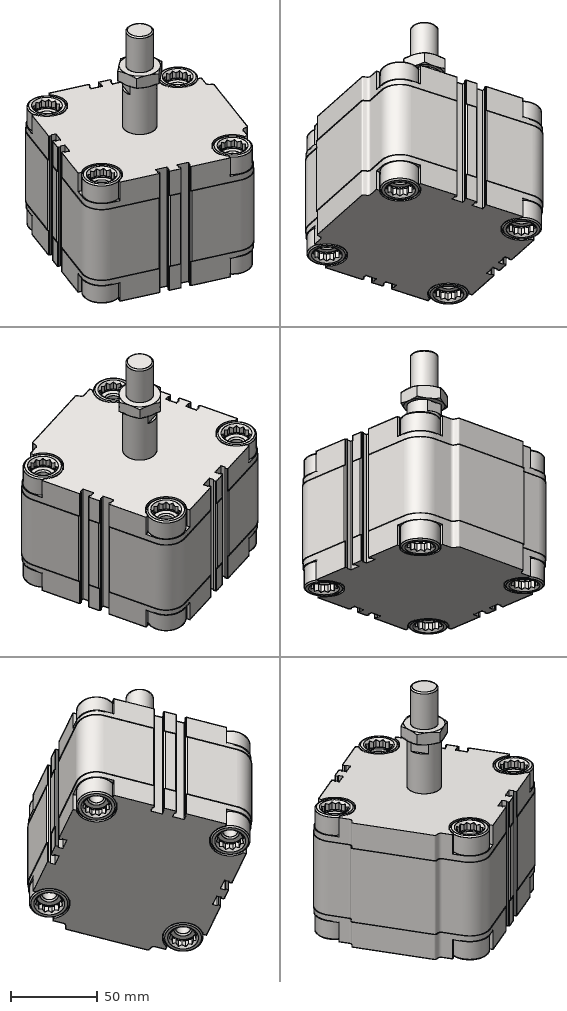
import cadquery as cq
import math


total_height = 146.0
body_height = 81.0
cap_height = 16.5
barrel_height = body_height - 2 * cap_height
rod_bottom = body_height - cap_height
nut_bottom = 114.0
nut_height = 7.9

barrel_width = 107.0
barrel_half_width = barrel_width / 2
cap_half_width = 53.1
screw_offset = 41.0
pad_rise = 4.0
pad_top_half_width = 25.4
pad_base_half_width = 26.7
pad_top_fillet = 1.0
pad_foot_fillet = 2.0

slot_centre = 6.7
slot_width = 7.0
slot_mouth = 5.5
slot_floor = 48.3
lip_inner = 51.5
lip_chamfer = 0.5
slot_sides = (-90, 0, 180)

recess_diameter = 24.0
recess_depth = 12.5
recess_wall = 6.4
head_diameter = 23.0
head_chamfer = 0.9
socket_rim_diameter = 17.8
socket_tip_diameter = 16.0
socket_root_diameter = 14.3
socket_points = 12
socket_depth = 5.8
relief_depth = 1.2
screw_hole_diameter = 8.6
hole_rim_diameter = 10.5

rod_diameter = 20.0
stud_diameter = 16.0
stud_chamfer = 0.9
flats_width = 17.0
flats_height = 7.0
nut_flats = 24.0
nut_chamfer_angle = 20

small_margin = 0.1

screw_points = [(sx * screw_offset, sy * screw_offset) for sx in (-1, 1) for sy in (-1, 1)]


def slot_cutter(side_angle, offset, height):
    """One lipped slot running the full height, opening outward on one side."""
    half_slot = slot_width / 2
    half_mouth = slot_mouth / 2
    flare_start = cap_half_width - lip_chamfer
    flare_length = barrel_half_width - flare_start + small_margin
    half_outline = [
        (slot_floor, half_slot),
        (lip_inner - lip_chamfer, half_slot),
        (lip_inner, half_mouth),
        (flare_start, half_mouth),
        (flare_start + flare_length, half_mouth + flare_length),
    ]
    mirrored = [(x, -y) for x, y in reversed(half_outline)]
    cutter = cq.Workplane("XY").polyline(half_outline + mirrored).close().extrude(height)
    return cutter.translate((0, offset, 0)).rotate((0, 0, 0), (0, 0, 1), side_angle)


def edges_at(y, half_span, height):
    """Selector for the upright edges at one Y within a half span along X."""
    low = (-half_span - small_margin, y - small_margin, 0)
    high = (half_span + small_margin, y + small_margin, height)
    return cq.selectors.BoxSelector(low, high)


def profile_block(half_width, height):
    """Square block with round corners and the +Y pad."""
    block = cq.Workplane("XY").rect(2 * half_width, 2 * half_width).extrude(height)
    block = block.edges("|Z").fillet(half_width - screw_offset)
    growth = half_width - cap_half_width
    base = pad_base_half_width + growth
    top = pad_top_half_width + growth
    pad = (
        cq.Workplane("XY")
        .moveTo(-base, 0)
        .lineTo(-base, half_width)
        .lineTo(-top, half_width + pad_rise)
        .lineTo(top, half_width + pad_rise)
        .lineTo(base, half_width)
        .lineTo(base, 0)
        .close()
        .extrude(height)
    )
    block = block.union(pad)
    top_y = half_width + pad_rise
    block = block.edges("|Z").edges(edges_at(top_y, base, height)).fillet(pad_top_fillet)
    return block.edges("|Z").edges(edges_at(half_width, base, height)).fillet(pad_foot_fillet)


def recess_cutter(x, y):
    """Round screw recess from Z = 0 up, opened out to the housing corner by straight walls."""
    recess = cq.Workplane("XY").circle(recess_diameter / 2).extrude(recess_depth)
    corner_size = recess_diameter
    corner = cq.Workplane("XY").box(corner_size, corner_size, recess_depth, centered=(True, True, False))
    shift = corner_size / 2 - recess_wall
    corner = corner.translate((math.copysign(shift, x), math.copysign(shift, y), 0))
    return recess.union(corner).translate((x, y, 0))


def star_socket():
    """Multi-point star socket, sunk from Z = 0 downward."""
    points = []
    for i in range(2 * socket_points):
        radius = (socket_tip_diameter if i % 2 == 0 else socket_root_diameter) / 2
        angle = math.pi / 2 + i * math.pi / socket_points
        points.append((radius * math.cos(angle), radius * math.sin(angle)))
    return cq.Workplane("XY").polyline(points).close().extrude(-socket_depth)


def screw_head():
    """Hollow screw head with its top face at Z = 0."""
    head = cq.Workplane("XY").circle(head_diameter / 2).extrude(-recess_depth)
    head = head.faces(">Z").chamfer(head_chamfer)
    rim_depth = (socket_rim_diameter - socket_root_diameter) / 2
    rim = cq.Solid.makeCone(
        socket_root_diameter / 2,
        socket_rim_diameter / 2,
        rim_depth,
        cq.Vector(0, 0, -rim_depth),
    )
    floor_depth = socket_depth + relief_depth
    relief = cq.Workplane("XY").circle(socket_tip_diameter / 2).extrude(-relief_depth)
    relief = relief.translate((0, 0, -socket_depth))
    hole = cq.Workplane("XY").circle(screw_hole_diameter / 2).extrude(-recess_depth)
    sink_depth = (hole_rim_diameter - screw_hole_diameter) / 2
    countersink = cq.Solid.makeCone(
        screw_hole_diameter / 2,
        hole_rim_diameter / 2,
        sink_depth,
        cq.Vector(0, 0, -floor_depth - sink_depth),
    )
    for cutter in (cq.Workplane(rim), star_socket(), relief, hole, cq.Workplane(countersink)):
        head = head.cut(cutter)
    return head


def make_housing():
    """Barrel between two slightly smaller ends, with slots, screw heads and the rod bore."""
    core = profile_block(cap_half_width, body_height)
    barrel = profile_block(barrel_half_width, barrel_height).translate((0, 0, cap_height))
    housing = core.union(barrel)
    for side_angle in slot_sides:
        for offset in (-slot_centre, slot_centre):
            housing = housing.cut(slot_cutter(side_angle, offset, body_height))
    holes = cq.Workplane("XY").pushPoints(screw_points).circle(screw_hole_diameter / 2).extrude(body_height)
    housing = housing.cut(holes)
    head = screw_head()
    for x, y in screw_points:
        recess = recess_cutter(x, y)
        top_head = head.translate((x, y, body_height))
        bottom_head = head.mirror("XY").translate((x, y, 0))
        housing = housing.cut(recess.translate((0, 0, body_height - recess_depth))).cut(recess)
        housing = housing.union(top_head).union(bottom_head)
    bore = cq.Workplane("XY", origin=(0, 0, rod_bottom)).circle(rod_diameter / 2).extrude(cap_height)
    return housing.cut(bore)


def make_rod():
    """Stepped piston rod with wrench flats below its shoulder."""
    rod_length = nut_bottom - rod_bottom
    rod = cq.Workplane("XY", origin=(0, 0, rod_bottom)).circle(rod_diameter / 2).extrude(rod_length)
    flats_stock = cq.Workplane("XY", origin=(0, 0, nut_bottom - flats_height))
    stock_width = 2 * rod_diameter
    flats_cut = flats_stock.rect(stock_width, stock_width).extrude(flats_height)
    flats_cut = flats_cut.cut(flats_stock.rect(stock_width, flats_width).extrude(flats_height))
    rod = rod.cut(flats_cut)
    stud = cq.Workplane("XY", origin=(0, 0, nut_bottom)).circle(stud_diameter / 2)
    stud = stud.extrude(total_height - nut_bottom).faces(">Z").chamfer(stud_chamfer)
    return rod.union(stud)


def make_nut():
    """Hexagon nut with corners along Y, both ends turned to a chamfer cone."""
    corner_diameter = nut_flats / math.cos(math.pi / 6)
    nut = cq.Workplane("XY").polygon(6, corner_diameter).extrude(nut_height)
    nut = nut.rotate((0, 0, 0), (0, 0, 1), 90)
    flat_radius = nut_flats / 2
    corner_radius = corner_diameter / 2
    drop = (corner_radius - flat_radius) * math.tan(math.radians(nut_chamfer_angle))
    turned = (
        cq.Workplane("XZ")
        .polyline([
            (0, 0),
            (flat_radius, 0),
            (corner_radius, drop),
            (corner_radius, nut_height - drop),
            (flat_radius, nut_height),
            (0, nut_height),
        ])
        .close()
        .revolve(360, (0, 0, 0), (0, 1, 0))
    )
    hole = cq.Workplane("XY").circle(stud_diameter / 2).extrude(nut_height)
    return nut.intersect(turned).cut(hole).translate((0, 0, nut_bottom))


housing = make_housing()
piston_rod = make_rod()
nut = make_nut()

result = cq.Compound.makeCompound([housing.val(), piston_rod.val(), nut.val()])